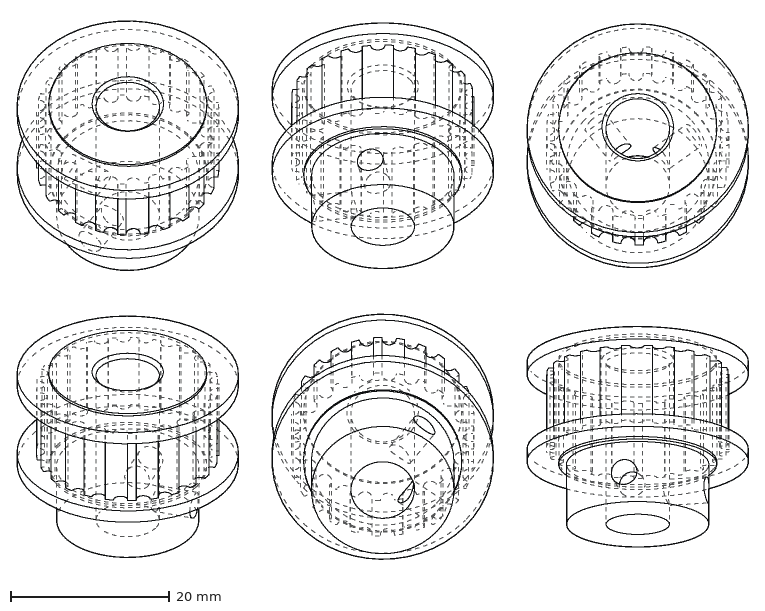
import cadquery as cq
import math


overall_height = 22.0
hub_height = 8.0
step_height = 0.35
flange_thickness = 1.68
rim_height = overall_height - hub_height - 2 * (flange_thickness + step_height)

flange_diameter = 28.0
step_diameter = 20.0
hub_diameter = 18.0
bore_diameter = 8.0
bore_chamfer = 0.5

tooth_count = 25
tip_diameter = 23.1
groove_radius = 0.9
tip_fillet = 0.098

screw_hole_diameter = 3.3
screw_hole_height = hub_height / 2
screw_hole_angles = (180, 270)

lower_flange_bottom = hub_height + step_height
rim_bottom = lower_flange_bottom + flange_thickness
rim_top = rim_bottom + rim_height
upper_flange_top = rim_top + flange_thickness


def disc(diameter, bottom, height):
    """Round plate on the pulley axis."""
    return cq.Workplane("XY").workplane(offset=bottom).circle(diameter / 2).extrude(height)


def toothed_rim():
    """Rim with half-round grooves whose mouths blend into the tooth tips by small fillets."""
    tip_radius = tip_diameter / 2

    fillet_y = groove_radius + tip_fillet
    fillet_reach = tip_radius - tip_fillet
    groove_centre = math.sqrt(fillet_reach**2 - fillet_y**2)
    mouth_angle = math.asin(fillet_y / fillet_reach)
    mouth_x = tip_radius * math.cos(mouth_angle)
    mouth_y = tip_radius * math.sin(mouth_angle)

    middle_angle = (mouth_angle - math.pi / 2) / 2
    middle_x = groove_centre + tip_fillet * math.cos(middle_angle)
    middle_y = fillet_y + tip_fillet * math.sin(middle_angle)

    groove = (
        cq.Workplane("XY")
        .workplane(offset=rim_bottom)
        .moveTo(mouth_x, -mouth_y)
        .threePointArc((middle_x, -middle_y), (groove_centre, -groove_radius))
        .threePointArc((groove_centre - groove_radius, 0), (groove_centre, groove_radius))
        .threePointArc((middle_x, middle_y), (mouth_x, mouth_y))
        .threePointArc((tip_radius, 0), (mouth_x, -mouth_y))
        .close()
        .extrude(rim_height)
    )

    rim = disc(tip_diameter, rim_bottom, rim_height)
    pitch_angle = 360 / tooth_count
    for index in range(tooth_count):
        angle = 270 + (index + 0.5) * pitch_angle
        rim = rim.cut(groove.rotate((0, 0, 0), (0, 0, 1), angle))
    return rim


def bore():
    """Through bore with a chamfer at the top end."""
    hole = disc(bore_diameter, 0, overall_height)
    countersink = (
        cq.Workplane("XY")
        .workplane(offset=overall_height)
        .circle(bore_diameter / 2 + bore_chamfer)
        .workplane(offset=-bore_chamfer)
        .circle(bore_diameter / 2)
        .loft(ruled=True)
    )
    return hole.union(countersink)


def screw_hole(angle):
    """Radial hole from the hub surface into the bore."""
    return (
        cq.Workplane("YZ")
        .center(0, screw_hole_height)
        .circle(screw_hole_diameter / 2)
        .extrude(hub_diameter / 2)
        .rotate((0, 0, 0), (0, 0, 1), angle)
    )


result = (
    disc(hub_diameter, 0, hub_height)
    .union(disc(step_diameter, hub_height, step_height))
    .union(disc(flange_diameter, lower_flange_bottom, flange_thickness))
    .union(toothed_rim())
    .union(disc(flange_diameter, rim_top, flange_thickness))
    .union(disc(step_diameter, upper_flange_top, step_height))
    .cut(bore())
)
for hole_angle in screw_hole_angles:
    result = result.cut(screw_hole(hole_angle))